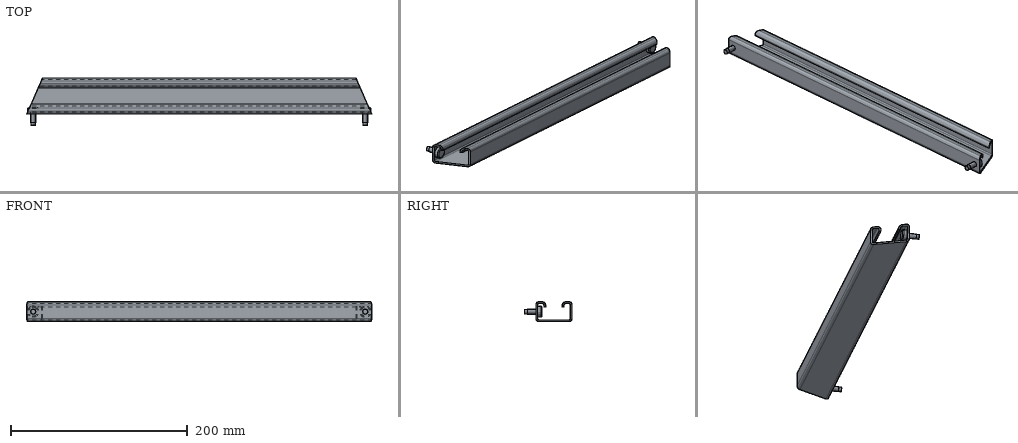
import cadquery as cq

length = 390.0
depth = 41.0
height = 22.5
wall = 2.15
bend_radius = 3.5
lip_radius = 4.5
flange_width = 11.5
lip_drop = 6.0
end_setback = 18.0

pin_inset = 7.5
pin_height = height / 2
shank_diameter = 6.0
pin_projection = 13.0
tip_diameter = 5.5
tip_length = 3.5
head_diameter = 12.5
head_thickness = 5.0
head_chamfer = 1.0

front_face = -depth / 2
back_face = depth / 2
pin_positions = [-length / 2 + pin_inset, length / 2 - pin_inset]


def bent_strip():
    """Uniform-thickness section: both walls, floor, top flanges and down-turned lips."""
    section = (
        cq.Workplane("YZ", origin=(-length / 2, 0, 0))
        .rect(depth, height)
        .extrude(length)
        .translate((0, 0, height / 2))
        .edges("|X")
        .fillet(bend_radius)
    )
    cavity = (
        cq.Workplane("YZ", origin=(-length / 2, 0, 0))
        .rect(depth - 2 * wall, height - 2 * wall)
        .extrude(length)
        .translate((0, 0, height / 2))
        .edges("|X")
        .fillet(bend_radius - wall)
    )
    mouth = cq.Workplane("XY").box(
        length, depth - 2 * (flange_width - lip_radius), height / 2, centered=(True, True, False)
    ).translate((0, 0, height / 2))
    shell = section.cut(cavity).cut(mouth)
    return shell.union(lip(1)).union(lip(-1))


def lip(side):
    """Quarter bend and short drop at the free edge of one top flange."""
    edge = side * (depth / 2 - flange_width)
    bend_start = edge + side * lip_radius
    inner_face = edge + side * wall
    bend_center_z = height - lip_radius
    diagonal = 0.5 ** 0.5
    inner_radius = lip_radius - wall
    return (
        cq.Workplane("YZ", origin=(-length / 2, 0, 0))
        .moveTo(bend_start, height)
        .threePointArc(
            (bend_start - side * lip_radius * diagonal, bend_center_z + lip_radius * diagonal),
            (edge, bend_center_z),
        )
        .lineTo(edge, height - lip_drop)
        .lineTo(inner_face, height - lip_drop)
        .lineTo(inner_face, bend_center_z)
        .threePointArc(
            (bend_start - side * inner_radius * diagonal, bend_center_z + inner_radius * diagonal),
            (bend_start, height - wall),
        )
        .close()
        .extrude(length)
    )


def mitred_plan():
    """Trapezoid prism that trims both ends so the back is shorter than the front."""
    return (
        cq.Workplane("XY")
        .polyline([
            (-length / 2, front_face),
            (length / 2, front_face),
            (length / 2 - end_setback, back_face),
            (-length / 2 + end_setback, back_face),
        ])
        .close()
        .extrude(height)
    )


def cylinder_from(x, start_y, diameter, reach):
    """Cylinder along Y, starting at start_y and reaching toward -Y."""
    return (
        cq.Workplane("XZ", origin=(x, start_y, pin_height))
        .circle(diameter / 2)
        .extrude(reach)
    )


def make_channel():
    channel = bent_strip().intersect(mitred_plan())
    for x in pin_positions:
        channel = channel.cut(cylinder_from(x, front_face + wall, shank_diameter, wall))
    return channel


def make_pin(x):
    """Chamfered head inside the wall, shank through it, narrower tip at the outer end."""
    inner_wall = front_face + wall
    head = (
        cylinder_from(x, inner_wall + head_thickness, head_diameter, head_thickness)
        .faces(">Y")
        .chamfer(head_chamfer)
    )
    shank_length = wall + pin_projection - tip_length
    shank = cylinder_from(x, inner_wall, shank_diameter, shank_length)
    tip = cylinder_from(x, inner_wall - shank_length, tip_diameter, tip_length)
    return head.union(shank).union(tip)


channel = make_channel()
pins = [make_pin(x) for x in pin_positions]
result = cq.Compound.makeCompound([channel.val(), *[pin.val() for pin in pins]])